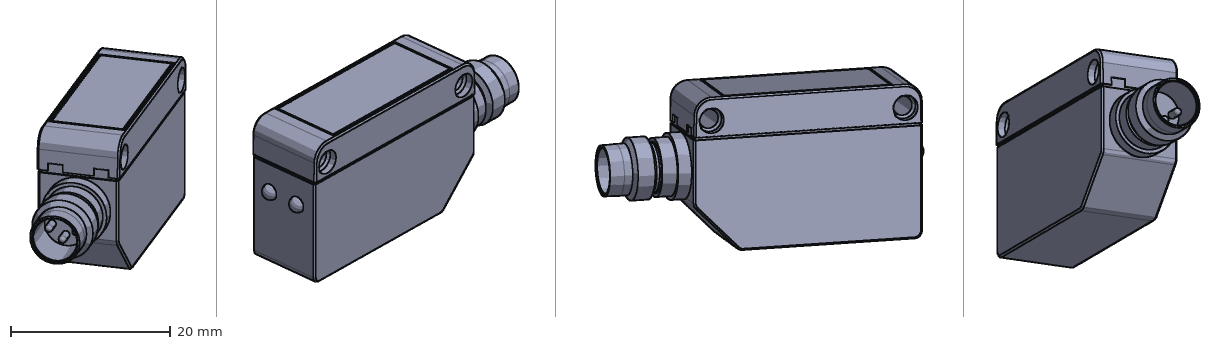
import cadquery as cq
import math


OVERALL_HEIGHT = 20.0
BODY_LENGTH = 30.0
EDGE_CHAMFER = 0.25

HOUSING_WIDTH = 10.55
HOUSING_HEIGHT = 14.57
FRONT_SLOPE = 6.0
HOUSING_ROUNDING = 1.0

COVER_WIDTH = 10.8
NECK_HEIGHT = 0.37
NECK_INSET = 0.25
COVER_BOTTOM = HOUSING_HEIGHT + NECK_HEIGHT
COVER_HEIGHT = OVERALL_HEIGHT - COVER_BOTTOM
COVER_ROUNDING = 2.28
COVER_DRAFT = 1
MOUNT_HOLE_DIAMETER = 2.5
MOUNT_RECESS_DIAMETER = 3.2
MOUNT_RECESS_DEPTH = 1.0
MOUNT_HOLE_INSET = 2.28
MOUNT_HOLE_DROP = 3.0
PANEL_GROOVE_WIDTH = 0.25
PANEL_GROOVE_DEPTH = 0.15
PANEL_WIDTH = 9.35
PANEL_LENGTH = 21.78
NOTCH_WIDTH = 1.95
NOTCH_HEIGHT = 1.0
NOTCH_SPACING = 6.0

CONNECTOR_HEIGHT = 10.23
CONNECTOR_LENGTH = 10.4
SEAT_DEPTH = 0.15
FLANGE_DIAMETER = 8.5
FLANGE_END = 1.75
SLEEVE_DIAMETER = 7.5
SLEEVE_END = 3.7
BARREL_DIAMETER = 6.6
BARREL_TAPER_END = 3.9
GROOVE_DIAMETER = 6.4
COLLAR_DIAMETER = 8.0
COLLAR_START = 4.25
COLLAR_FULL_START = 4.7
COLLAR_FULL_END = 6.95
COLLAR_END = 7.45
TIP_START = 8.55
TIP_DIAMETER = 6.5
BORE_MOUTH_DIAMETER = 6.0
BORE_DIAMETER = 5.7
BORE_FLOOR_DIAMETER = 5.6
BORE_DEPTH = 4.95
PIN_DIAMETER = 1.0
PIN_LENGTH = 2.05
PIN_SIDE_OFFSET = 1.8
PIN_DROP = 1.3

LAMP_DIAMETER = 2.2
LAMP_PROTRUSION = 1.0
LAMP_SPACING = 4.6
LAMP_HEIGHT = 10.6


def side_outline(points, width):
    """Extrude an outline of (Y, Z) points symmetrically about the middle plane."""
    return cq.Workplane("YZ").polyline(points).close().extrude(width / 2, both=True)


def connector_revolve(profile):
    """Turn a profile of (radius, distance in front of the housing) about the connector axis."""
    plane = cq.Plane(origin=(0, 0, CONNECTOR_HEIGHT), xDir=(1, 0, 0), normal=(0, 0, 1))
    points = [(radius, -distance) for radius, distance in profile]
    return cq.Workplane(plane).polyline(points).close().revolve(360, (0, 0), (0, 1))


def make_housing():
    outline = [
        (0, FRONT_SLOPE),
        (FRONT_SLOPE, 0),
        (BODY_LENGTH, 0),
        (BODY_LENGTH, HOUSING_HEIGHT),
        (0, HOUSING_HEIGHT),
    ]
    housing = side_outline(outline, HOUSING_WIDTH)
    lower_edges = cq.selectors.BoxSelector(
        (-HOUSING_WIDTH, -0.4, -0.4), (HOUSING_WIDTH, BODY_LENGTH + 0.4, FRONT_SLOPE + 0.4)
    )
    housing = housing.edges("|X").edges(lower_edges).fillet(HOUSING_ROUNDING)

    housing = housing.faces("<X or >X").edges("not >Z").chamfer(EDGE_CHAMFER)

    flange_radius = FLANGE_DIAMETER / 2
    seat = connector_revolve(
        [(0, -SEAT_DEPTH), (flange_radius, -SEAT_DEPTH), (flange_radius, 0), (0, 0)]
    )
    return housing.cut(seat)


def cut_mount_hole(cover, y):
    """Cut a cross hole through the cover, recessed on both sides down to a conical floor."""
    hole_radius = MOUNT_HOLE_DIAMETER / 2
    recess_radius = MOUNT_RECESS_DIAMETER / 2
    floor = COVER_WIDTH / 2 - MOUNT_RECESS_DEPTH
    cone_end = floor - (recess_radius - hole_radius)
    profile = [
        (-COVER_WIDTH / 2, 0),
        (-COVER_WIDTH / 2, recess_radius),
        (-floor, recess_radius),
        (-cone_end, hole_radius),
        (cone_end, hole_radius),
        (floor, recess_radius),
        (COVER_WIDTH / 2, recess_radius),
        (COVER_WIDTH / 2, 0),
    ]
    hole = cq.Workplane("XY").polyline(profile).close().revolve(360, (0, 0), (1, 0))
    return cover.cut(hole.translate((0, y, OVERALL_HEIGHT - MOUNT_HOLE_DROP)))


def cut_panel_groove(cover):
    """Cut the frame-shaped groove around the panel on the top face."""
    groove = (
        cq.Workplane("XY", origin=(0, BODY_LENGTH / 2, OVERALL_HEIGHT))
        .rect(PANEL_WIDTH + 2 * PANEL_GROOVE_WIDTH, PANEL_LENGTH + 2 * PANEL_GROOVE_WIDTH)
        .rect(PANEL_WIDTH, PANEL_LENGTH)
        .extrude(-PANEL_GROOVE_DEPTH)
    )
    return cover.cut(groove)


def cut_notches(cover):
    """Cut the two notches in the lower front edge, as deep as the neck is inset."""
    for side in (-1, 1):
        notch = cq.Workplane("XY").box(
            NOTCH_WIDTH, NECK_INSET, NOTCH_HEIGHT, centered=(True, False, False)
        )
        cover = cover.cut(notch.translate((side * NOTCH_SPACING / 2, 0, COVER_BOTTOM)))
    return cover


def make_cover():
    lean = COVER_HEIGHT * math.tan(math.radians(COVER_DRAFT))
    outline = [
        (0, COVER_BOTTOM),
        (BODY_LENGTH, COVER_BOTTOM),
        (BODY_LENGTH - lean, OVERALL_HEIGHT),
        (lean, OVERALL_HEIGHT),
    ]
    cover = side_outline(outline, COVER_WIDTH)
    cover = cover.edges("|X and >Z").fillet(COVER_ROUNDING)
    cover = cover.faces("<X or >X").edges("not <Z").chamfer(EDGE_CHAMFER)

    neck = (
        cq.Workplane("XY", origin=(0, BODY_LENGTH / 2, HOUSING_HEIGHT))
        .rect(HOUSING_WIDTH - 2 * NECK_INSET, BODY_LENGTH - 2 * NECK_INSET)
        .extrude(NECK_HEIGHT)
    )
    for y in (MOUNT_HOLE_INSET, BODY_LENGTH - MOUNT_HOLE_INSET):
        cover = cut_mount_hole(cover, y)
    return cut_notches(cut_panel_groove(cover)).union(neck)


def make_contact_pin(x, z):
    """One contact pin standing on the bore floor, with a hemispherical end."""
    radius = PIN_DIAMETER / 2
    floor_center = (x, BORE_DEPTH - CONNECTOR_LENGTH, CONNECTOR_HEIGHT + z)
    shank_length = PIN_LENGTH - radius
    shank = cq.Workplane("XZ", origin=floor_center).circle(radius).extrude(shank_length)
    tip = cq.Workplane("XZ", origin=floor_center).workplane(offset=shank_length).sphere(radius)
    return shank.union(tip)


def make_connector():
    floor = CONNECTOR_LENGTH - BORE_DEPTH
    mouth_bevel = (BORE_MOUTH_DIAMETER - BORE_DIAMETER) / 2
    profile = [
        (0, -SEAT_DEPTH),
        (FLANGE_DIAMETER / 2, -SEAT_DEPTH),
        (FLANGE_DIAMETER / 2, FLANGE_END),
        (SLEEVE_DIAMETER / 2, FLANGE_END),
        (SLEEVE_DIAMETER / 2, SLEEVE_END),
        (BARREL_DIAMETER / 2, SLEEVE_END),
        (GROOVE_DIAMETER / 2, BARREL_TAPER_END),
        (GROOVE_DIAMETER / 2, COLLAR_START),
        (COLLAR_DIAMETER / 2, COLLAR_FULL_START),
        (COLLAR_DIAMETER / 2, COLLAR_FULL_END),
        (BARREL_DIAMETER / 2, COLLAR_END),
        (BARREL_DIAMETER / 2, TIP_START),
        (TIP_DIAMETER / 2, CONNECTOR_LENGTH),
        (BORE_MOUTH_DIAMETER / 2, CONNECTOR_LENGTH),
        (BORE_DIAMETER / 2, CONNECTOR_LENGTH - mouth_bevel),
        (BORE_FLOOR_DIAMETER / 2, floor),
        (0, floor),
    ]
    connector = connector_revolve(profile)
    pin_places = [(-PIN_SIDE_OFFSET, 0), (PIN_SIDE_OFFSET, 0), (0, -PIN_DROP)]
    for x, z in pin_places:
        connector = connector.union(make_contact_pin(x, z))
    return connector


def make_lamp(x):
    """A round lamp dome resting on the rear face of the housing."""
    radius = LAMP_DIAMETER / 2
    base_radius = math.sqrt(radius**2 - (radius - LAMP_PROTRUSION) ** 2)
    rim_angle = math.asin((radius - LAMP_PROTRUSION) / radius)
    middle_angle = (rim_angle + math.pi / 2) / 2
    sphere_center = LAMP_PROTRUSION - radius
    dome = (
        cq.Workplane("XY")
        .lineTo(base_radius, 0)
        .threePointArc(
            (radius * math.cos(middle_angle), sphere_center + radius * math.sin(middle_angle)),
            (0, LAMP_PROTRUSION),
        )
        .close()
        .revolve(360, (0, 0), (0, 1))
    )
    return dome.translate((x, BODY_LENGTH, LAMP_HEIGHT))


housing = make_housing()
cover = make_cover()
connector = make_connector()
lamps = [make_lamp(side * LAMP_SPACING / 2) for side in (-1, 1)]

result = cq.Compound.makeCompound(
    [housing.val(), cover.val(), connector.val(), *[lamp.val() for lamp in lamps]]
)